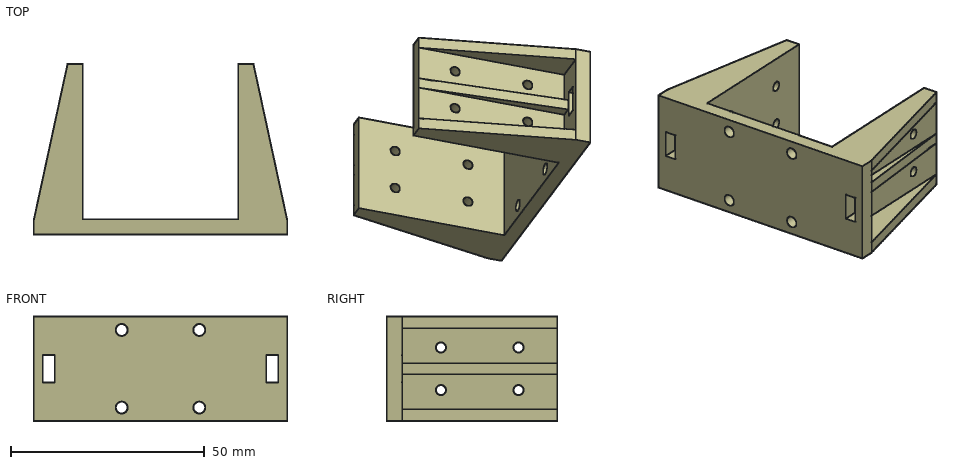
import cadquery as cq

width = 65.4
depth = 44.0
height = 27.0
wall = 4.0
plate_hole_diameter = 3.0
plate_hole_spacing = 20.0

slot_width = 3.0
slot_height = 7.0
slot_edge_distance = 3.85

arm_outer_span = 48.0
arm_hole_diameter = 2.55
arm_hole_pitch_y = 20.0
arm_hole_pitch_z = 11.0
arm_hole_end_distance = 10.0

outer_rib_thickness = 3.0
middle_rib_thickness = 2.8
middle_rib_reach = 3.0
rib_setback = 0.2

arm_outer_x = arm_outer_span / 2
slot_x = width / 2 - slot_edge_distance
arm_hole_y = depth - arm_hole_end_distance - arm_hole_pitch_y / 2


def make_plate():
    return cq.Workplane("XY").box(width, wall, height, centered=(True, False, True))


def make_arm():
    return (
        cq.Workplane("XY")
        .box(wall, depth, height, centered=(True, False, True))
        .translate((arm_outer_x - wall / 2, 0, 0))
    )


def make_rib(tip_x, start_y, thickness, center_z):
    """Triangular rib, widest at the plate and vanishing at the arm's free end."""
    inside_x = arm_outer_x - wall / 2
    outline = [
        (inside_x, start_y),
        (tip_x, start_y),
        (arm_outer_x, depth),
        (inside_x, depth),
    ]
    return (
        cq.Workplane("XY", origin=(0, 0, center_z - thickness / 2))
        .polyline(outline)
        .close()
        .extrude(thickness)
    )


def make_ribbed_arm():
    outer_rib_z = (height - outer_rib_thickness) / 2
    arm = make_arm()
    for center_z in (-outer_rib_z, outer_rib_z):
        arm = arm.union(make_rib(width / 2, wall - rib_setback, outer_rib_thickness, center_z))
    middle_tip_x = arm_outer_x + middle_rib_reach
    return arm.union(make_rib(middle_tip_x, wall, middle_rib_thickness, 0))


def make_plate_cutters():
    """Mounting holes and strap slots through the base plate."""
    plane = cq.Workplane("XZ")
    holes = (
        plane.rarray(plate_hole_spacing, plate_hole_spacing, 2, 2)
        .circle(plate_hole_diameter / 2)
        .extrude(-wall)
    )
    slots = (
        plane.pushPoints([(-slot_x, 0), (slot_x, 0)])
        .rect(slot_width, slot_height)
        .extrude(-wall)
    )
    return holes.union(slots)


def make_arm_hole_cutters():
    """Screw holes running straight through both arms."""
    return (
        cq.Workplane("YZ", origin=(0, arm_hole_y, 0))
        .rarray(arm_hole_pitch_y, arm_hole_pitch_z, 2, 2)
        .circle(arm_hole_diameter / 2)
        .extrude(width / 2, both=True)
    )


right_arm = make_ribbed_arm()
left_arm = right_arm.mirror("YZ")
result = (
    make_plate()
    .union(right_arm)
    .union(left_arm)
    .cut(make_plate_cutters())
    .cut(make_arm_hole_cutters())
)